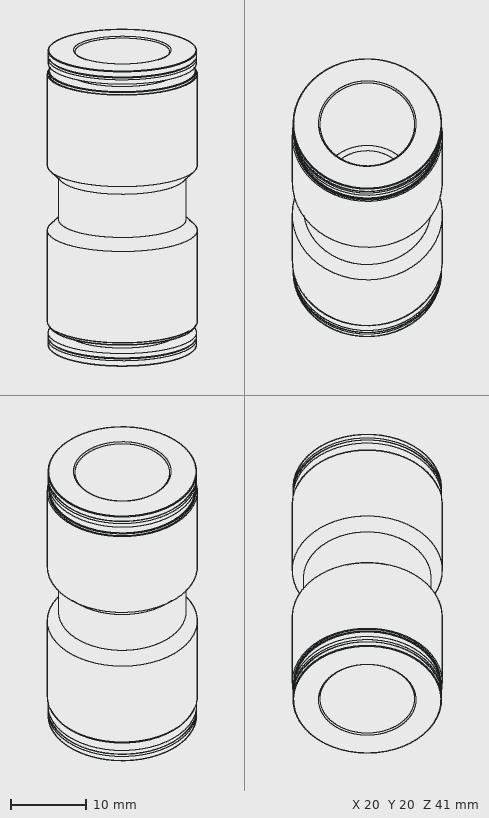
import cadquery as cq

length = 41.0
half_length = length / 2

body_diameter = 20.0
waist_diameter = 17.0
waist_half_length = 3.0
cone_length = (body_diameter - waist_diameter) / 2

lip_diameter = 19.6
lip_height = 0.4
lip_chamfer = 0.1

flange_diameter = 19.8
flange_thickness = 1.8
flange_chamfer = 0.1
neck_diameter = 14.6
neck_length = 1.1
groove_depth = 0.2
groove_root_offset = 1.0

body_half_length = half_length - flange_thickness - neck_length

bore_diameter = 11.0
socket_diameter = 12.6
socket_chamfer = 0.2
shoulder_half_length = waist_half_length
socket_depth = half_length - shoulder_half_length


def cylinder(diameter, bottom, height):
    """Solid cylinder on the Z axis, starting at the given height."""
    return cq.Workplane("XY").workplane(offset=bottom).circle(diameter / 2).extrude(height)


def frustum(bottom_diameter, top_diameter, bottom, height):
    """Solid cone frustum on the Z axis, starting at the given height."""
    base = cq.Workplane("XY").workplane(offset=bottom).circle(bottom_diameter / 2)
    return base.workplane(offset=height).circle(top_diameter / 2).loft()


def make_body_end():
    """Upper wide end of the body: cone up from the waist, cylinder and lip."""
    cone_top = waist_half_length + cone_length
    lip_bottom = body_half_length - lip_height
    cone = frustum(waist_diameter, body_diameter, waist_half_length, cone_length)
    wide_end = cylinder(body_diameter, cone_top, lip_bottom - cone_top)
    lip = cylinder(lip_diameter, lip_bottom, lip_height)
    lip = lip.faces(">Z").edges().chamfer(lip_chamfer)
    return cone.union(wide_end).union(lip)


def make_groove():
    """Ring-shaped cutter for the V-groove around the upper flange."""
    rim_radius = flange_diameter / 2
    root_height = half_length - groove_root_offset
    profile = (
        cq.Workplane("XZ")
        .moveTo(rim_radius, root_height - groove_depth)
        .lineTo(rim_radius, root_height + groove_depth)
        .lineTo(rim_radius - groove_depth, root_height)
        .close()
    )
    return profile.revolve(360, (0, 0, 0), (0, 1, 0))


def make_collar():
    """Neck and grooved flange of the upper release collar."""
    neck = cylinder(neck_diameter, body_half_length, neck_length)
    flange = cylinder(flange_diameter, half_length - flange_thickness, flange_thickness)
    flange = flange.faces(">Z").edges().chamfer(flange_chamfer)
    return neck.union(flange.cut(make_groove()))


def make_socket():
    """Cutter for the upper tube socket, with its chamfered mouth."""
    socket = cylinder(socket_diameter, shoulder_half_length, socket_depth)
    mouth_diameter = socket_diameter + 2 * socket_chamfer
    mouth = frustum(socket_diameter, mouth_diameter, half_length - socket_chamfer, socket_chamfer)
    return socket.union(mouth)


upper_end = make_body_end().union(make_collar()).cut(make_socket())
lower_end = upper_end.mirror("XY")
waist = cylinder(waist_diameter, -waist_half_length, 2 * waist_half_length)
through_bore = cylinder(bore_diameter, -half_length, length)

result = waist.union(upper_end).union(lower_end).cut(through_bore)